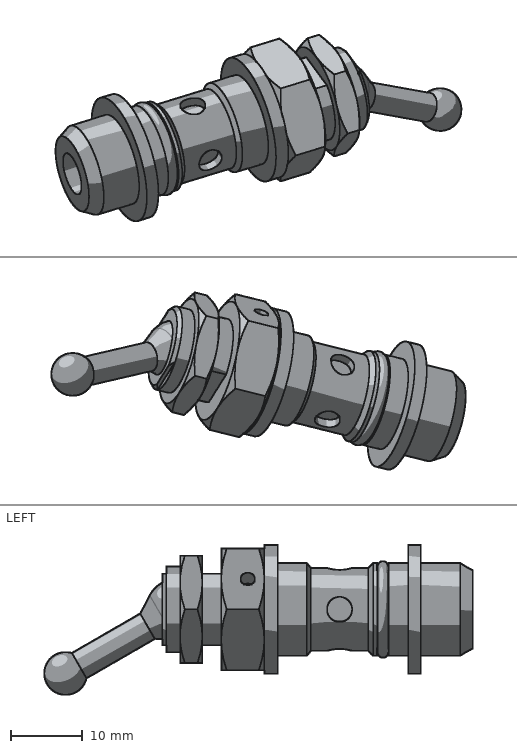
import math

import cadquery as cq


OVERALL_LENGTH = 59.81
OVERALL_HEIGHT = 20.94

NOSE_CHAMFER_END = 1.8
FRONT_FLANGE_START = 7.25
FRONT_FLANGE_END = 9.05
SEAL_CENTRE = 12.55
WAIST_CONE_START = 13.9
WAIST_START = 14.6
WAIST_END = 22.6
WAIST_CHAMFER_END = 23.2
REAR_FLANGE_START = 27.2
REAR_FLANGE_END = 29.1
LARGE_NUT_END = 35.1
SMALL_NUT_START = 37.75
SMALL_NUT_END = 40.85
COLLAR_END = 42.75
STEM_END = 43.3

BARREL_RADIUS = 6.5
NOSE_CHAMFER_ANGLE = 30.0
NOSE_RADIUS = BARREL_RADIUS - NOSE_CHAMFER_END * math.tan(math.radians(NOSE_CHAMFER_ANGLE))
WAIST_RADIUS = 5.8
FLANGE_RADIUS = 9.0
STEM_RADIUS = 6.0
STEM_CHAMFER = STEM_END - COLLAR_END
STEM_FLAT_HEIGHT = 5.0

SEAL_SECTION_RADIUS = 0.75
SEAL_OUTER_RADIUS = 6.75
SEAL_GROOVE_WIDTH = 1.6
SEAL_GROOVE_RADIUS = 5.4

LARGE_NUT_FLATS = 17.0
SMALL_NUT_FLATS = 15.0
NUT_CHAMFER_ANGLE = 30.0
HEX_SIDES = 6
HEX_HALF_ANGLE = 180 / HEX_SIDES

END_BORE_RADIUS = 3.0
END_BORE_DEPTH = 3.0
PORT_DIAMETER = 3.5
PORT_FLOOR_RADIUS = 4.5
PORT_CENTRE = (WAIST_START + WAIST_END) / 2
VENT_DIAMETER = 2.0
VENT_DEPTH = 3.0
VENT_CENTRE = 31.4
VENT_FACE_ANGLE = 150.0

LEVER_TILT = 30.0
BALL_RADIUS = 3.0
BALL_DROP = OVERALL_HEIGHT - FLANGE_RADIUS - BALL_RADIUS
BALL_CENTRE_Y = OVERALL_LENGTH - BALL_RADIUS
LEVER_LENGTH = BALL_DROP / math.sin(math.radians(LEVER_TILT))
PIVOT_Y = BALL_CENTRE_Y - LEVER_LENGTH * math.cos(math.radians(LEVER_TILT))
ROD_RADIUS = 2.05
PIVOT_RADIUS = 4.25
LEVER_CONE_ANGLE = 32.5


def along_y(y):
    """Workplane across the part at station y, with its normal pointing along +Y."""
    return cq.Workplane(cq.Plane(origin=(0, y, 0), xDir=(1, 0, 0), normal=(0, 1, 0)))


def cylinder(radius, start, end):
    return along_y(start).circle(radius).extrude(end - start)


def turned(points):
    """Solid of revolution about Y from (radius, y) points; the axis closes the outline."""
    return cq.Workplane("XY").polyline(points).close().revolve(360, (0, 0), (0, 1))


def make_barrel():
    return turned([
        (0, 0),
        (NOSE_RADIUS, 0),
        (BARREL_RADIUS, NOSE_CHAMFER_END),
        (BARREL_RADIUS, WAIST_CONE_START),
        (WAIST_RADIUS, WAIST_START),
        (WAIST_RADIUS, WAIST_END),
        (BARREL_RADIUS, WAIST_CHAMFER_END),
        (BARREL_RADIUS, REAR_FLANGE_END),
        (0, REAR_FLANGE_END),
    ])


def make_flanges():
    front = cylinder(FLANGE_RADIUS, FRONT_FLANGE_START, FRONT_FLANGE_END)
    return front.union(cylinder(FLANGE_RADIUS, REAR_FLANGE_START, REAR_FLANGE_END))


def make_stem():
    """Stem with two flats, plus the full round collar behind the small nut."""
    stem = cylinder(STEM_RADIUS, REAR_FLANGE_END, STEM_END)
    stem = stem.faces(">Y").chamfer(STEM_CHAMFER)
    flats = along_y(REAR_FLANGE_END).rect(2 * STEM_RADIUS, 2 * STEM_FLAT_HEIGHT)
    stem = stem.intersect(flats.extrude(STEM_END - REAR_FLANGE_END))
    return stem.union(cylinder(STEM_RADIUS, SMALL_NUT_END, COLLAR_END))


def make_nut(across_flats, start, end):
    """Hexagon with flats facing +Z and -Z, its corners chamfered at both ends."""
    corner_radius = across_flats / 2 / math.cos(math.radians(HEX_HALF_ANGLE))
    face_radius = across_flats / 2
    chamfer = (corner_radius - face_radius) * math.tan(math.radians(NUT_CHAMFER_ANGLE))
    hexagon = along_y(start).polygon(HEX_SIDES, 2 * corner_radius).extrude(end - start)
    envelope = turned([
        (0, start),
        (face_radius, start),
        (corner_radius, start + chamfer),
        (corner_radius, end - chamfer),
        (face_radius, end),
        (0, end),
    ])
    return hexagon.intersect(envelope)


def make_seal_groove():
    start = SEAL_CENTRE - SEAL_GROOVE_WIDTH / 2
    end = SEAL_CENTRE + SEAL_GROOVE_WIDTH / 2
    ring = along_y(start).circle(FLANGE_RADIUS).circle(SEAL_GROOVE_RADIUS)
    return ring.extrude(end - start)


def make_seal():
    centre_radius = SEAL_OUTER_RADIUS - SEAL_SECTION_RADIUS
    plane = cq.Plane(origin=(centre_radius, SEAL_CENTRE, 0), xDir=(-1, 0, 0), normal=(0, 0, 1))
    section = cq.Workplane(plane).circle(SEAL_SECTION_RADIUS)
    return section.revolve(360, (centre_radius, 0), (centre_radius, -1))


def make_ports():
    """Four radial blind holes in the waist, ending on a round core."""
    across = cq.Workplane("XY", origin=(0, PORT_CENTRE, 0)).circle(PORT_DIAMETER / 2)
    bar = across.extrude(BARREL_RADIUS, both=True)
    bars = bar.union(bar.rotate((0, 0, 0), (0, 1, 0), 90))
    return bars.cut(cylinder(PORT_FLOOR_RADIUS, WAIST_START, WAIST_END))


def make_vent():
    """Blind hole square to the upper -X face of the large nut."""
    face_angle = math.radians(VENT_FACE_ANGLE)
    direction = cq.Vector(math.cos(face_angle), 0, math.sin(face_angle))
    face_point = direction * (LARGE_NUT_FLATS / 2) + cq.Vector(0, VENT_CENTRE, 0)
    plane = cq.Plane(origin=face_point, xDir=(0, 1, 0), normal=direction)
    return cq.Workplane(plane).circle(VENT_DIAMETER / 2).extrude(-VENT_DEPTH)


def make_lever():
    """Ball, rod, cone and round pivot, turned about Y and tilted down about the pivot."""
    angle = math.radians(LEVER_CONE_ANGLE)
    tangent_radius = PIVOT_RADIUS * math.cos(angle)
    tangent_station = PIVOT_RADIUS * math.sin(angle)
    cone_tip_station = tangent_station + (tangent_radius - ROD_RADIUS) / math.tan(angle)
    shaft = turned([
        (0, 0),
        (PIVOT_RADIUS, 0),
        (tangent_radius, tangent_station),
        (ROD_RADIUS, cone_tip_station),
        (ROD_RADIUS, LEVER_LENGTH),
        (0, LEVER_LENGTH),
    ])
    lever = shaft.union(cq.Workplane("XY").sphere(PIVOT_RADIUS))
    lever = lever.union(cq.Workplane("XY").sphere(BALL_RADIUS).translate((0, LEVER_LENGTH, 0)))
    return lever.rotate((0, 0, 0), (1, 0, 0), -LEVER_TILT).translate((0, PIVOT_Y, 0))


body = make_barrel().cut(make_seal_groove()).union(make_seal())
body = body.union(make_flanges()).union(make_stem())
body = body.union(make_nut(LARGE_NUT_FLATS, REAR_FLANGE_END, LARGE_NUT_END))
body = body.union(make_nut(SMALL_NUT_FLATS, SMALL_NUT_START, SMALL_NUT_END))
body = body.union(make_lever())
body = body.cut(make_ports()).cut(make_vent())
result = body.cut(cylinder(END_BORE_RADIUS, 0, END_BORE_DEPTH))